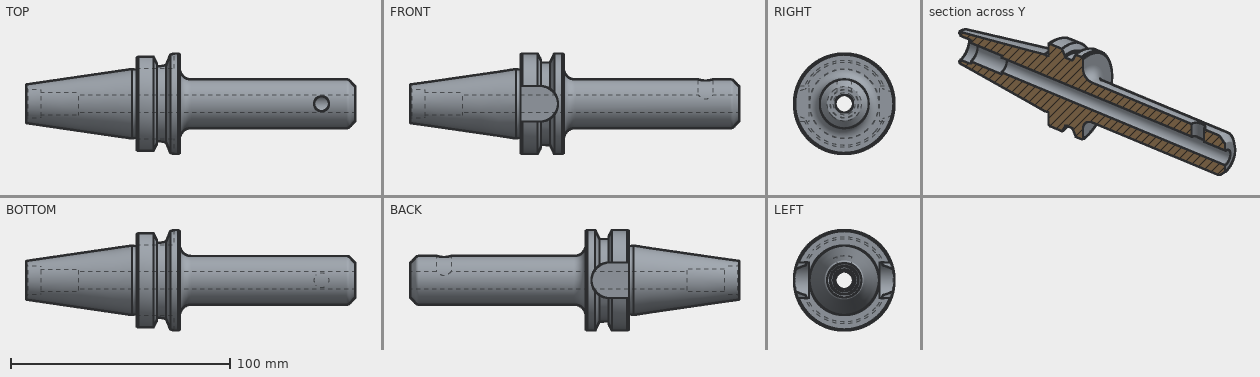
import cadquery as cq
import math

length = 150.4
flange_radius = 46.0 / 2
shank_radius = 22.4 / 2

taper_end = 48.5
taper_large_radius = 16.0
taper_slope = 7 / 48
taper_small_radius = taper_large_radius - taper_end * taper_slope
tip_fillet = 0.8
neck_radius = 31.5 / 2
neck_start = 49.3

flange_start = 50.4
flange_end = 70.2
flange_chamfer = 0.9
flange_chamfer_depth = 0.6
groove_start = 58.2
groove_end = 65.9
groove_radius = 19.0
groove_wall_run = 2.0
groove_step_x = 59.9
groove_step_radius = 19.9
shank_fillet = 5.0

notch_width = 16.2
notch_floor = 16.1
notch_tip = 67.5

nose_blend_start = 146.3
nose_blend_radius = 2.0
nose_chamfer_angle = math.radians(45)
nose_blend_end = nose_blend_start + nose_blend_radius * math.sin(nose_chamfer_angle)
nose_blend_drop = nose_blend_radius * (1 - math.cos(nose_chamfer_angle))
nose_end_radius = 7.8
nose_fillet = 0.5

mouth_radius = 7.8
mouth_depth = 0.9
counterbore_radius = 13.1 / 2
counterbore_depth = 5.4
relief_radius = 12.5 / 2
relief_depth = 6.8
thread_radius = 10.1 / 2
thread_depth = 24
through_radius = 8.0 / 2
cross_hole_diameter = 6.8
cross_hole_x = 134.9


def revolve_outline(outline):
    """Close an outline along the X axis and revolve it."""
    return outline.close().revolve(360, (0, 0, 0), (1, 0, 0))


def make_body():
    """Taper, flange and shank as one revolved outline."""
    flange_edge_radius = flange_radius - flange_chamfer_depth
    outline = (
        cq.Workplane("XY")
        .lineTo(0, taper_small_radius)
        .lineTo(taper_end, taper_large_radius)
        .lineTo(neck_start, neck_radius)
        .lineTo(flange_start, neck_radius)
        .lineTo(flange_start, flange_edge_radius)
        .lineTo(flange_start + flange_chamfer, flange_radius)
        .lineTo(groove_start, flange_radius)
        .lineTo(groove_step_x, groove_step_radius)
        .lineTo(groove_step_x, groove_radius)
        .lineTo(groove_end - groove_wall_run, groove_radius)
        .lineTo(groove_end, flange_radius)
        .lineTo(flange_end - flange_chamfer, flange_radius)
        .lineTo(flange_end, flange_edge_radius)
        .lineTo(flange_end, shank_radius + shank_fillet)
        .radiusArc((flange_end + shank_fillet, shank_radius), -shank_fillet)
        .lineTo(nose_blend_start, shank_radius)
        .radiusArc((nose_blend_end, shank_radius - nose_blend_drop), nose_blend_radius)
        .lineTo(length, nose_end_radius)
        .lineTo(length, 0)
    )
    body = revolve_outline(outline)
    body = body.faces("<X").edges().fillet(tip_fillet)
    return body.faces(">X").edges().fillet(nose_fillet)


def make_bore():
    """Countersunk, stepped bore running through the whole part."""
    outline = (
        cq.Workplane("XY")
        .lineTo(0, mouth_radius)
        .lineTo(mouth_depth, counterbore_radius)
        .lineTo(counterbore_depth, counterbore_radius)
        .lineTo(relief_depth, relief_radius)
        .lineTo(relief_depth, thread_radius)
        .lineTo(thread_depth, thread_radius)
        .lineTo(thread_depth, through_radius)
        .lineTo(length, through_radius)
        .lineTo(length, 0)
    )
    return revolve_outline(outline)


def make_notch(side):
    """Drive notch on the +Y (side = 1) or -Y (side = -1) flank, open toward the taper."""
    half_width = notch_width / 2
    arc_start = notch_tip - half_width
    return (
        cq.Workplane("XZ", origin=(0, side * notch_floor, 0))
        .moveTo(flange_start, -half_width)
        .lineTo(arc_start, -half_width)
        .threePointArc((notch_tip, 0), (arc_start, half_width))
        .lineTo(flange_start, half_width)
        .close()
        .extrude(-side * flange_radius)
    )


def make_cross_hole():
    """Radial hole from the top of the shank down to the bore."""
    return (
        cq.Workplane("XY", origin=(cross_hole_x, 0, 0))
        .circle(cross_hole_diameter / 2)
        .extrude(flange_radius)
    )


result = make_body().cut(make_bore()).cut(make_cross_hole())
for notch_side in (-1, 1):
    result = result.cut(make_notch(notch_side))